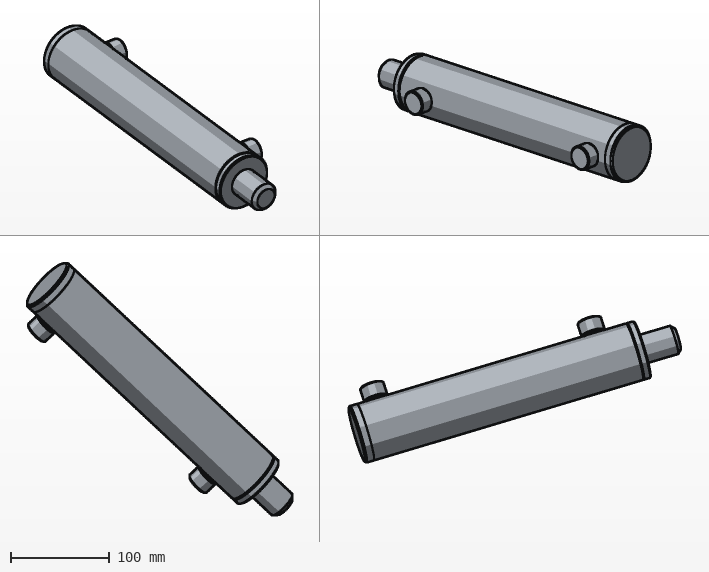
import cadquery as cq

total_length = 340.0
barrel_diameter = 60.0
rod_diameter = 30.0

cap_length = 9.2
gland_start = 294.0
gland_end = 302.3

cap_chamfer = 1.7
gland_chamfer = 1.0
rod_chamfer = 4.0
port_top_chamfer = 1.0
port_base_chamfer = 1.7

port_diameter = 24.8
port_top = 45.2
port_base = 29.2
port_positions = (30.0, 260.0)


def rod_along_x(start, end, diameter):
    """Solid cylinder on the X axis."""
    return cq.Workplane("YZ").workplane(offset=start).circle(diameter / 2).extrude(end - start)


def make_end_cap():
    return rod_along_x(0, cap_length, barrel_diameter).faces("<X").chamfer(cap_chamfer)


def make_barrel():
    return rod_along_x(cap_length, gland_start, barrel_diameter)


def make_gland():
    gland = rod_along_x(gland_start, gland_end, barrel_diameter)
    return gland.faces("<X or >X").chamfer(gland_chamfer)


def make_piston_rod():
    return rod_along_x(gland_end, total_length, rod_diameter).faces(">X").chamfer(rod_chamfer)


def make_port(x_position, barrel):
    """Boss chamfered at both rims, its base hollowed to sit on the round barrel."""
    port = cq.Workplane("XZ", origin=(x_position, port_base, 0))
    port = port.circle(port_diameter / 2).extrude(port_base - port_top)
    port = port.faces(">Y").chamfer(port_top_chamfer)
    port = port.faces("<Y").chamfer(port_base_chamfer)
    return port.cut(barrel)


end_cap = make_end_cap()
barrel = make_barrel()
gland = make_gland()
piston_rod = make_piston_rod()
ports = [make_port(x_position, barrel) for x_position in port_positions]

result = cq.Compound.makeCompound(
    [
        end_cap.val(),
        barrel.val(),
        gland.val(),
        piston_rod.val(),
        *[port.val() for port in ports],
    ]
)